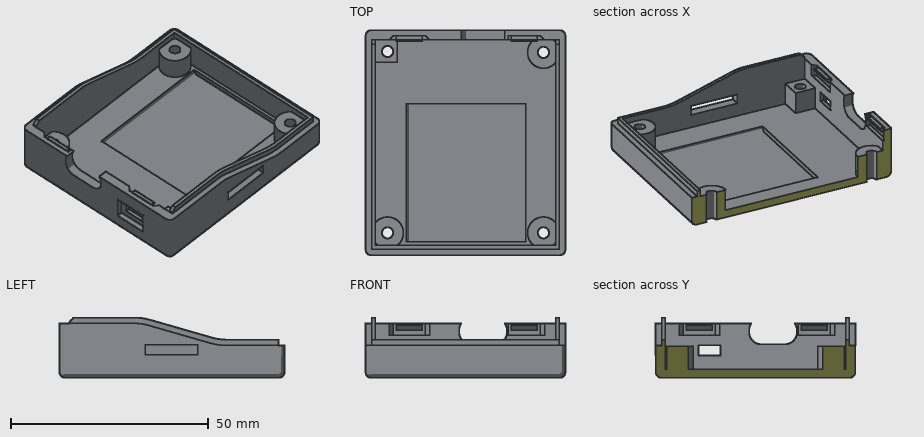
import cadquery as cq
import math

WIDTH = 50.5
LENGTH = 56.9
RIM_HIGH = 13.75
RIM_LOW = 8.2
EDGE_RADIUS = 1.5
FLOOR = 2.2

OUTER_WALL = 1.55
LIP_WALL = 0.95
LIP_HEIGHT = 1.5
LIP_END_CHAMFER = 1.15
WALL = OUTER_WALL + LIP_WALL

SLOPE_TOP_Y = 7.7
SLOPE_BOTTOM_Y = -11.7
TOP_BEND_RADIUS = 11.4
BOTTOM_BEND_RADIUS = 15.9

BOSS_TOP = 8.0
BOSS_DIAMETER = 8.0
SQUARE_BOSS = 5.6
SCREW_HOLE = 2.8
BOSS_X = 19.7
FRONT_BOSS_Y = -22.75
BACK_BOSS_Y = 22.8
SQUARE_HOLE_Y = 23.05

TRAY_WIDTH = 30.15
TRAY_CENTER_X = 0.1
TRAY_BACK_Y = 9.8
TRAY_FRONT_Y = -25.0
TRAY_DEPTH = 1.25
TRAY_EDGE_RADIUS = 1.15

NOTCH_CENTER_X = 4.45
NOTCH_CENTER_Z = 11.8
NOTCH_WIDTH = 12.0
NOTCH_HEIGHT = 6.5
NOTCH_CORNER_RADIUS = 2.95

WINDOW_CENTER_X = -11.6
WINDOW_WIDTH = 5.45
WINDOW_BOTTOM = 5.7
WINDOW_HEIGHT = 2.5
WINDOW_WALL = 1.0
WINDOW_RECESS_MARGIN = 1.6

SLOT_CENTER_Y = 0.1
SLOT_LENGTH = 13.2
SLOT_BOTTOM = 5.8
SLOT_HEIGHT = 2.55

LATCH_CENTERS_X = (-14.15, 14.85)
RECESS_WIDTH = 8.1
RECESS_DEPTH = 1.1
RECESS_BOTTOM = 10.8
CATCH_WIDTH = 6.6
CATCH_REACH = 1.35
CATCH_BOTTOM = 12.0
CATCH_TOP = 13.6
CATCH_BEVEL = 0.3

BACK_Y = LENGTH / 2
BACK_INNER_Y = BACK_Y - WALL
LEFT_X = -WIDTH / 2
LEFT_INNER_X = LEFT_X + WALL
ROUND_BOSS_CENTERS = [(-BOSS_X, FRONT_BOSS_Y), (BOSS_X, FRONT_BOSS_Y), (BOSS_X, BACK_BOSS_Y)]
SQUARE_BOSS_HOLE = (-BOSS_X, SQUARE_HOLE_Y)


def block(x_min, x_max, y_min, y_max, z_min, z_max):
    size = (x_max - x_min, y_max - y_min, z_max - z_min)
    return cq.Workplane("XY").box(*size, centered=False).translate((x_min, y_min, z_min))


def below_rim(rise):
    """Solid below the rim curve, with that curve offset outward by rise."""
    angle = math.atan2(RIM_HIGH - RIM_LOW, SLOPE_TOP_Y - SLOPE_BOTTOM_Y)
    half_tan = math.tan(angle / 2)
    high = RIM_HIGH + rise
    low = RIM_LOW + rise
    top_radius = TOP_BEND_RADIUS + rise
    bottom_radius = BOTTOM_BEND_RADIUS - rise
    top_start = SLOPE_TOP_Y - rise * half_tan + top_radius * half_tan
    bottom_end = SLOPE_BOTTOM_Y - rise * half_tan - bottom_radius * half_tan

    def on_top_bend(turn):
        return (top_start - top_radius * math.sin(turn), high - top_radius * (1 - math.cos(turn)))

    def on_bottom_bend(turn):
        return (bottom_end + bottom_radius * math.sin(turn), low + bottom_radius * (1 - math.cos(turn)))

    return (
        cq.Workplane("YZ")
        .moveTo(BACK_Y, 0)
        .lineTo(BACK_Y, high)
        .lineTo(top_start, high)
        .threePointArc(on_top_bend(angle / 2), on_top_bend(angle))
        .lineTo(*on_bottom_bend(angle))
        .threePointArc(on_bottom_bend(angle / 2), (bottom_end, low))
        .lineTo(-BACK_Y, low)
        .lineTo(-BACK_Y, 0)
        .close()
        .extrude(WIDTH / 2, both=True)
    )


def outer_body():
    body = cq.Workplane("XY").box(WIDTH, LENGTH, RIM_HIGH, centered=(True, True, False))
    body = body.edges("|Z").fillet(EDGE_RADIUS).faces("<Z").edges().fillet(EDGE_RADIUS)
    return body.intersect(below_rim(0))


def lip():
    """Lip along the front and both sides, chamfered where it meets the back wall."""
    x_max = WIDTH / 2 - OUTER_WALL
    strip = block(-x_max, x_max, -BACK_Y + OUTER_WALL, BACK_INNER_Y, FLOOR, RIM_HIGH + LIP_HEIGHT)
    strip = strip.faces(">Z").edges(">Y").chamfer(LIP_END_CHAMFER)
    return strip.intersect(below_rim(LIP_HEIGHT))


def cavity(z_max):
    """Space inside the walls from the floor up to z_max."""
    return block(LEFT_INNER_X, -LEFT_INNER_X, -BACK_INNER_Y, BACK_INNER_Y, FLOOR, z_max)


def bosses():
    square = block(
        LEFT_INNER_X, LEFT_INNER_X + SQUARE_BOSS, BACK_INNER_Y - SQUARE_BOSS, BACK_INNER_Y, 0, BOSS_TOP
    )
    round_bosses = (
        cq.Workplane("XY")
        .pushPoints(ROUND_BOSS_CENTERS)
        .circle(BOSS_DIAMETER / 2)
        .extrude(BOSS_TOP)
    )
    return round_bosses.union(square).intersect(cavity(BOSS_TOP))


def screw_holes():
    centers = ROUND_BOSS_CENTERS + [SQUARE_BOSS_HOLE]
    return cq.Workplane("XY").pushPoints(centers).circle(SCREW_HOLE / 2).extrude(BOSS_TOP)


def tray():
    x_min = TRAY_CENTER_X - TRAY_WIDTH / 2
    pocket = block(x_min, x_min + TRAY_WIDTH, TRAY_FRONT_Y, TRAY_BACK_Y, FLOOR - TRAY_DEPTH, FLOOR)
    return pocket.faces("<Z").edges("|Y").fillet(TRAY_EDGE_RADIUS)


def notch():
    return (
        cq.Workplane("XZ", origin=(NOTCH_CENTER_X, BACK_Y, NOTCH_CENTER_Z))
        .rect(NOTCH_WIDTH, NOTCH_HEIGHT)
        .extrude(WALL)
        .edges("|Y")
        .fillet(NOTCH_CORNER_RADIUS)
    )


def window():
    x_min = WINDOW_CENTER_X - WINDOW_WIDTH / 2
    z_max = WINDOW_BOTTOM + WINDOW_HEIGHT
    x_max = x_min + WINDOW_WIDTH
    margin = WINDOW_RECESS_MARGIN
    opening = block(x_min, x_max, BACK_INNER_Y, BACK_Y, WINDOW_BOTTOM, z_max)
    outer_recess = block(
        x_min - margin, x_max + margin, BACK_INNER_Y + WINDOW_WALL, BACK_Y,
        WINDOW_BOTTOM - margin, z_max + margin,
    )
    return opening.union(outer_recess)


def side_slot():
    y_min = SLOT_CENTER_Y - SLOT_LENGTH / 2
    z_max = SLOT_BOTTOM + SLOT_HEIGHT
    return block(LEFT_X, LEFT_INNER_X, y_min, y_min + SLOT_LENGTH, SLOT_BOTTOM, z_max)


def latch_recess(center_x):
    """Recess open at the top; its ends flare at 45 degrees, except the straight end beside the notch."""
    half_back = RECESS_WIDTH / 2
    flare_right = half_back + RECESS_DEPTH
    flare_left = half_back if center_x > NOTCH_CENTER_X else flare_right
    return (
        cq.Workplane("XY", origin=(center_x, BACK_INNER_Y, RECESS_BOTTOM))
        .moveTo(-flare_left, 0)
        .lineTo(-half_back, RECESS_DEPTH)
        .lineTo(half_back, RECESS_DEPTH)
        .lineTo(flare_right, 0)
        .close()
        .extrude(RIM_HIGH - RECESS_BOTTOM)
    )


def catch(center_x):
    """Wedge with a flat top, a beveled nose and a sloped underside."""
    root_y = BACK_INNER_Y + RECESS_DEPTH
    nose_y = root_y - CATCH_REACH
    return (
        cq.Workplane("YZ", origin=(center_x, 0, 0))
        .moveTo(root_y, CATCH_BOTTOM)
        .lineTo(root_y, CATCH_TOP)
        .lineTo(nose_y + CATCH_BEVEL, CATCH_TOP)
        .lineTo(nose_y, CATCH_TOP - CATCH_BEVEL)
        .close()
        .extrude(CATCH_WIDTH / 2, both=True)
    )


result = outer_body().union(lip()).cut(cavity(RIM_HIGH + LIP_HEIGHT)).union(bosses())
for cutter in (screw_holes(), tray(), window(), side_slot()):
    result = result.cut(cutter)
for latch_x in LATCH_CENTERS_X:
    result = result.cut(latch_recess(latch_x)).union(catch(latch_x))
result = result.cut(notch())